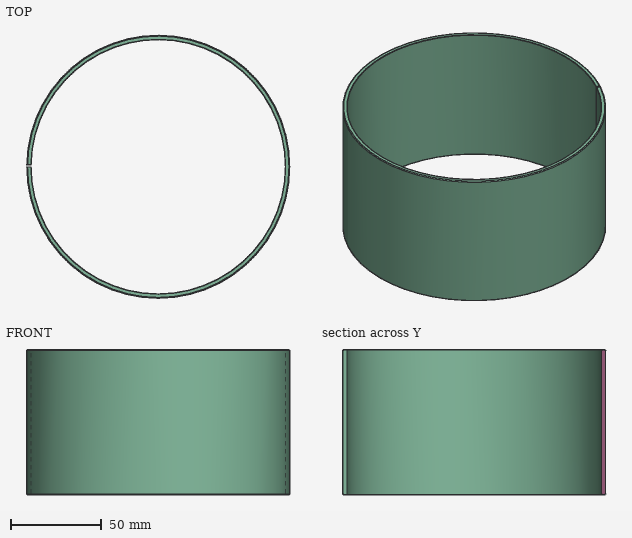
import cadquery as cq

outer_diameter = 145.0
wall = 2.5
height = 80.0
slit_width = 1.0
outer_edge_chamfer = 0.51
inner_edge_chamfer = 0.22

outer_radius = outer_diameter / 2
inner_radius = outer_radius - wall


def make_sleeve():
    """Thin round sleeve standing on the XY plane, with broken rim edges."""
    blank = cq.Workplane("XY").circle(outer_radius).circle(inner_radius).extrude(height)
    outer_rims = cq.selectors.RadiusNthSelector(-1)
    inner_rims = cq.selectors.RadiusNthSelector(0)
    outside_broken = blank.faces("|Z").edges(outer_rims).chamfer(outer_edge_chamfer)
    return outside_broken.faces("|Z").edges(inner_rims).chamfer(inner_edge_chamfer)


def make_slit():
    """Full-height cutter through the -X wall, with one side on the XZ plane."""
    cutter_length = 4 * wall
    cutter = cq.Workplane("XY").box(cutter_length, slit_width, height, centered=(True, False, False))
    return cutter.translate((-outer_radius, 0, 0))


result = make_sleeve().cut(make_slit())